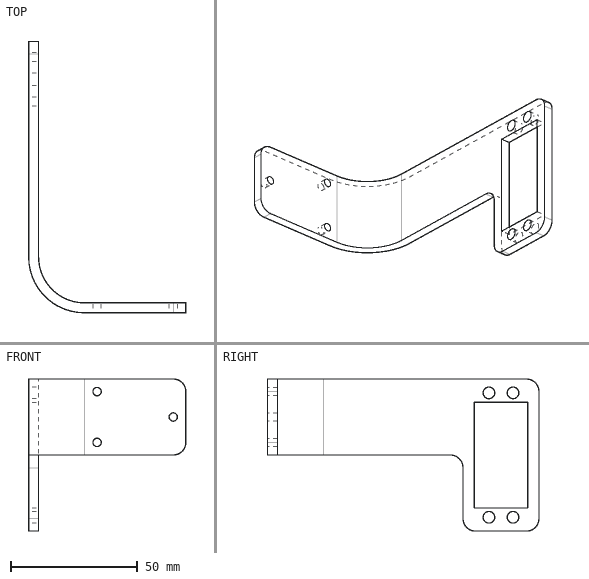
import cadquery as cq

thickness = 4.0
arm_length = 107.0
foot_length = 62.0
strip_height = 30.0
bend_outer_radius = 22.0
bend_inner_radius = bend_outer_radius - thickness
corner_radius = 5.0

plate_width = 30.0
plate_height = 60.0
plate_bottom_z = strip_height - plate_height
plate_near_y = arm_length - plate_width
plate_center_y = arm_length - plate_width / 2
plate_center_z = strip_height - plate_height / 2
inside_corner_radius = 5.0

window_width = 21.0
window_height = 41.5
servo_hole_diameter = 4.5
servo_hole_pitch_y = 9.5
servo_hole_pitch_z = 49.0

foot_hole_diameter = 3.2
foot_hole_inset = 5.0
foot_hole_pitch_x = 30.0
foot_hole_outer_x = foot_length - foot_hole_inset
foot_hole_inner_x = foot_hole_outer_x - foot_hole_pitch_x
foot_hole_points = [
    (foot_hole_inner_x, foot_hole_inset),
    (foot_hole_inner_x, strip_height - foot_hole_inset),
    (foot_hole_outer_x, strip_height / 2),
]


def make_strip():
    """Bent strip standing on Z = 0, with its outer faces on X = 0 and Y = 0."""
    outer = (
        cq.Workplane("XY")
        .rect(foot_length, arm_length, centered=False)
        .extrude(strip_height)
        .edges("|Z and <X").edges("<Y")
        .fillet(bend_outer_radius)
    )
    inner = (
        cq.Workplane("XY")
        .moveTo(thickness, thickness)
        .rect(foot_length - thickness, arm_length - thickness, centered=False)
        .extrude(strip_height)
        .edges("|Z and <X").edges("<Y")
        .fillet(bend_inner_radius)
    )
    strip = outer.cut(inner)
    return strip.faces(">X").edges("|Y").fillet(corner_radius)


def add_servo_plate(strip):
    """Extend the arm end downwards and round the plate's corners."""
    plate = cq.Workplane("XY").box(thickness, plate_width, plate_height, centered=False)
    body = strip.union(plate.translate((0, plate_near_y, plate_bottom_z)))
    body = body.faces(">Y").edges("|X").fillet(corner_radius)
    body = body.faces("<Z").edges("|X").edges("<Y").fillet(corner_radius)
    inside_corner = cq.selectors.NearestToPointSelector((thickness / 2, plate_near_y, 0))
    return body.edges(inside_corner).fillet(inside_corner_radius)


def make_servo_cutout():
    """Window and screw holes, cut through the plate along X."""
    plane = cq.Workplane("YZ").center(plate_center_y, plate_center_z)
    window = plane.rect(window_width, window_height).extrude(thickness)
    holes = (
        plane.rect(servo_hole_pitch_y, servo_hole_pitch_z, forConstruction=True)
        .vertices()
        .circle(servo_hole_diameter / 2)
        .extrude(thickness)
    )
    return window.union(holes)


def make_foot_holes():
    """Mounting holes, cut through the foot along Y."""
    plane = cq.Workplane("XZ", origin=(0, thickness, 0))
    return plane.pushPoints(foot_hole_points).circle(foot_hole_diameter / 2).extrude(thickness)


bracket = add_servo_plate(make_strip())
result = bracket.cut(make_servo_cutout()).cut(make_foot_holes())